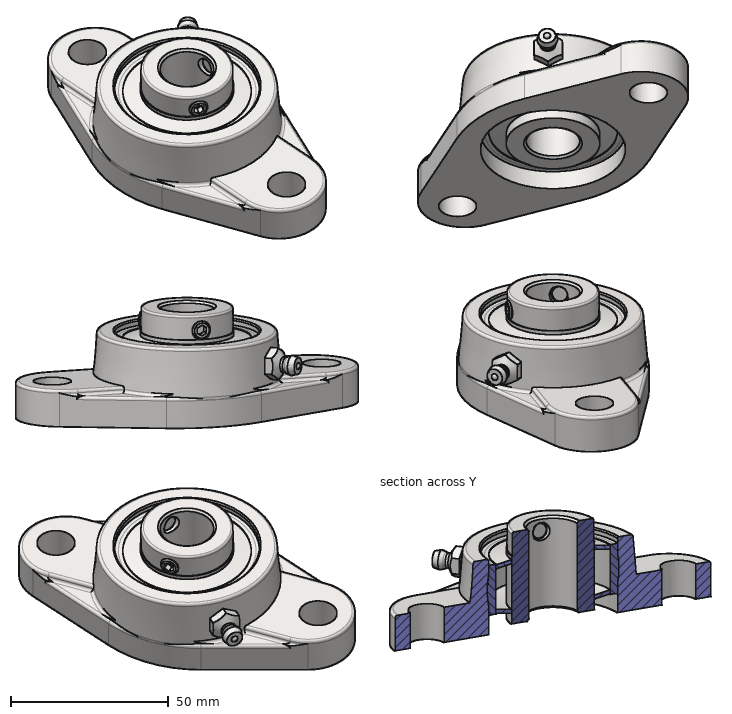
import cadquery as cq
import math

bolt_spacing = 90.0
bolt_hole_d = 12.0
end_r = 15.0
flange_length = 113.0
end_center_x = flange_length / 2 - end_r
flange_half_width = 30.0
waist_r = 41.5
pad_z = 10.0
flange_z = 12.0
edge_r = 1.0

draft = math.tan(math.radians(5))
hub_r = 30.0
hub_z = 25.6
hub_top_r = hub_r - (hub_z - pad_z) * draft
hub_edge_r = 1.0

ball_plane_z = 15.0
seat_r = 47.0 / 2
seat_mouth_r = 45.97 / 2
seat_half_height = math.sqrt(seat_r**2 - seat_mouth_r**2)
mouth_bevel = 0.5
outer_ring_half_width = 8.6
outer_ring_rim_drop = 0.15
outer_ring_bore_r = 40.79 / 2
outer_ring_face_r = 21.85
inner_ring_r = 29.72 / 2
collar_r = 29.21 / 2
collar_step_z = 25.4
inner_ring_bottom_z = 2.3
inner_ring_top_z = 33.3
bore_r = 17.0 / 2
collar_edge_r = 0.7
bore_chamfer = 0.75
seal_thickness = 1.5
seal_outer_offset = 8.25
seal_inner_offset = 9.1

screw_r = 5.99 / 2
screw_hole_r = 6.0 / 2
screw_tip_r = 4.92 / 2
screw_z = 28.4
screw_outer_end = 15.1
screw_inner_end = 9.4
screw_angles = (90, -30)
screw_hex_flats = 3.0
screw_hex_depth = 2.5

nipple_angle = 135
nipple_z = 17.6
stem_r = 6.0 / 2
stem_inner_end = 26.0
hex_flats = 9.0
hex_start = 29.8
hex_end = 32.7
hex_cone_r = 4.6
neck_start = 34.2
neck_r = 4.92 / 2
neck_end = 35.1
head_start = 35.9
head_back_r = 2.8
head_max_r = 6.5 / 2
head_max = 37.3
head_front_r = 2.7
head_end = 39.4
tip_r = 1.1
tip_height = 0.8


def radial_plane(angle, z, distance=0.0):
    """Plane whose normal points outward along a horizontal radius; its local Y is +Z."""
    a = math.radians(angle)
    direction = cq.Vector(math.cos(a), math.sin(a), 0)
    side = (-math.sin(a), math.cos(a), 0)
    origin = direction * distance + cq.Vector(0, 0, z)
    return cq.Plane(origin=origin.toTuple(), xDir=side, normal=direction.toTuple())


def revolve_radial(points, angle, z):
    """Turn a (distance, radius) outline about a horizontal radius of the bearing."""
    a = math.radians(angle)
    plane = cq.Plane(
        origin=(0, 0, z), xDir=(math.cos(a), math.sin(a), 0), normal=(math.sin(a), -math.cos(a), 0)
    )
    return cq.Workplane(plane).polyline(points).close().revolve(360, (0, 0, 0), (1, 0, 0))


def flange_outline():
    waist_y = flange_half_width - waist_r
    dist = math.hypot(end_center_x, waist_y)
    base = math.atan2(-waist_y, end_center_x)
    lean = math.asin((waist_r - end_r) / dist)
    slope = lean - base
    nx, ny = math.sin(slope), math.cos(slope)
    ex, ey = end_center_x + end_r * nx, end_r * ny
    wx, wy = waist_r * nx, waist_y + waist_r * ny
    tip = flange_length / 2
    return (
        cq.Workplane("XY")
        .moveTo(-wx, wy)
        .threePointArc((0, flange_half_width), (wx, wy))
        .lineTo(ex, ey)
        .threePointArc((tip, 0), (ex, -ey))
        .lineTo(wx, -wy)
        .threePointArc((0, -flange_half_width), (-wx, -wy))
        .lineTo(-ex, -ey)
        .threePointArc((-tip, 0), (-ex, ey))
        .close()
    )


def foot_profile(plane, wall, wall_lean=0.0):
    """Section of a concave fillet between the pad and a wall standing at the given distance."""
    mid = edge_r * (1 - math.sqrt(0.5))
    return (
        cq.Workplane(plane)
        .moveTo(wall - edge_r, pad_z - edge_r)
        .lineTo(wall + edge_r, pad_z - edge_r)
        .lineTo(wall + edge_r, pad_z)
        .threePointArc((wall + mid, pad_z + mid), (wall - wall_lean, pad_z + edge_r))
        .lineTo(wall - edge_r, pad_z + edge_r)
        .close()
    )


def straight_feet():
    """Concave fillets along both straight sides of the ridge."""
    plane = cq.Plane(origin=(-end_center_x, 0, 0), xDir=(0, 1, 0), normal=(1, 0, 0))
    foot = foot_profile(plane, end_r).extrude(2 * end_center_x)
    return foot.union(foot.mirror("XZ"))


def end_feet():
    """Concave fillets round both ends of the ridge."""
    foot = foot_profile("XZ", end_r).revolve(360, (0, 0, 0), (0, 1, 0))
    return foot.translate((end_center_x, 0, 0)).union(foot.translate((-end_center_x, 0, 0)))


def hub_foot():
    """Concave fillet ring between the hub and the low side pads."""
    return foot_profile("XZ", hub_r, draft * edge_r).revolve(360, (0, 0, 0), (0, 1, 0))


def make_flange():
    pad = flange_outline().extrude(pad_z).faces(">Z").edges().fillet(edge_r)
    ridge = cq.Workplane("XY").slot2D(flange_length, 2 * end_r).extrude(flange_z)
    ridge = ridge.faces(">Z").edges().fillet(edge_r)
    pad_flat = flange_outline().offset2D(-edge_r).extrude(flange_z)
    inner_feet = straight_feet().union(hub_foot()).intersect(pad_flat)
    tip_feet = end_feet().intersect(flange_outline().extrude(flange_z))
    return pad.union(ridge).union(inner_feet).union(tip_feet)


def make_hub():
    """Drafted round hub standing on a straight cylinder that runs down through the flange."""
    base = cq.Workplane("XY").circle(hub_r).extrude(pad_z)
    cone = (
        cq.Workplane("XZ")
        .polyline([(0, pad_z), (hub_r, pad_z), (hub_top_r, hub_z), (0, hub_z)])
        .close()
        .revolve(360, (0, 0, 0), (0, 1, 0))
    )
    return base.union(cone.faces(">Z").edges().fillet(hub_edge_r))


def seat_cutter():
    """Spherical bearing seat, bevelled mouth above it and straight bore below it."""
    seat_top = ball_plane_z + seat_half_height
    seat_bottom = ball_plane_z - seat_half_height
    return (
        cq.Workplane("XZ")
        .moveTo(0, 0)
        .lineTo(seat_mouth_r, 0)
        .lineTo(seat_mouth_r, seat_bottom)
        .threePointArc((seat_r, ball_plane_z), (seat_mouth_r, seat_top))
        .lineTo(seat_mouth_r, hub_z - mouth_bevel)
        .lineTo(seat_mouth_r + mouth_bevel, hub_z)
        .lineTo(0, hub_z)
        .close()
        .revolve(360, (0, 0, 0), (0, 1, 0))
    )


def make_housing():
    housing = make_flange().union(make_hub()).cut(seat_cutter())
    bolt_holes = (
        cq.Workplane("XY")
        .rarray(bolt_spacing, 1, 2, 1)
        .circle(bolt_hole_d / 2)
        .extrude(flange_z)
    )
    nipple_hole = (
        cq.Workplane(radial_plane(nipple_angle, nipple_z, stem_inner_end))
        .circle(stem_r)
        .extrude(hex_start - stem_inner_end)
    )
    return housing.cut(bolt_holes).cut(nipple_hole)


def make_outer_ring():
    """Ring with a spherical back, a short straight shoulder and a slightly raised outer rim."""
    face = outer_ring_half_width - outer_ring_rim_drop
    half = (
        cq.Workplane("XZ", origin=(0, 0, ball_plane_z))
        .moveTo(outer_ring_bore_r, 0)
        .lineTo(outer_ring_bore_r, face)
        .lineTo(outer_ring_face_r, face)
        .lineTo(seat_mouth_r, outer_ring_half_width)
        .lineTo(seat_mouth_r, seat_half_height)
        .threePointArc(
            (math.sqrt(seat_r**2 - (seat_half_height / 2) ** 2), seat_half_height / 2), (seat_r, 0)
        )
        .close()
        .revolve(360, (0, 0, 0), (0, 1, 0))
    )
    return half.union(half.mirror("XY", (0, 0, ball_plane_z)))


def make_inner_ring():
    height = inner_ring_top_z - inner_ring_bottom_z
    step_height = collar_step_z - inner_ring_bottom_z
    start = cq.Workplane("XY", origin=(0, 0, inner_ring_bottom_z))
    ring = start.circle(collar_r).extrude(height).union(start.circle(inner_ring_r).extrude(step_height))
    ring = ring.cut(start.circle(bore_r).extrude(height))
    ring = ring.edges(cq.selectors.RadiusNthSelector(0)).chamfer(bore_chamfer)
    ring = ring.faces(">Z").edges(cq.selectors.RadiusNthSelector(-1)).fillet(collar_edge_r)
    for angle in screw_angles:
        plane = radial_plane(angle, screw_z)
        ring = ring.cut(cq.Workplane(plane).circle(screw_hole_r).extrude(inner_ring_r))
    return ring


def make_seal(side):
    """Slightly dished seal ring; side is +1 above the balls or -1 below them."""
    outer_z = ball_plane_z + side * seal_outer_offset
    inner_z = ball_plane_z + side * seal_inner_offset
    depth = side * seal_thickness
    return (
        cq.Workplane("XZ")
        .polyline(
            [
                (inner_ring_r, inner_z),
                (outer_ring_bore_r, outer_z),
                (outer_ring_bore_r, outer_z - depth),
                (inner_ring_r, inner_z - depth),
            ]
        )
        .close()
        .revolve(360, (0, 0, 0), (0, 1, 0))
    )


def make_set_screw(angle):
    length = screw_outer_end - screw_inner_end
    screw = (
        cq.Workplane(radial_plane(angle, screw_z, screw_inner_end))
        .circle(screw_r)
        .extrude(length)
        .edges("%CIRCLE")
        .chamfer(screw_r - screw_tip_r)
    )
    socket = (
        cq.Workplane(radial_plane(angle, screw_z, screw_outer_end))
        .transformed(rotate=(0, 0, 90))
        .polygon(6, screw_hex_flats / math.cos(math.pi / 6))
        .extrude(-screw_hex_depth)
    )
    return screw.cut(socket)


def make_nipple():
    stem = (
        cq.Workplane(radial_plane(nipple_angle, nipple_z, stem_inner_end))
        .circle(stem_r)
        .extrude(hex_start - stem_inner_end)
    )
    hexagon = (
        cq.Workplane(radial_plane(nipple_angle, nipple_z, hex_start))
        .transformed(rotate=(0, 0, 90))
        .polygon(6, hex_flats / math.cos(math.pi / 6))
        .extrude(neck_start - hex_start)
    )
    full_r = hex_flats
    cone_slope = (hex_cone_r - neck_r) / (neck_start - hex_end)
    full_x = hex_end - (full_r - hex_cone_r) / cone_slope
    envelope = revolve_radial(
        [(full_x, 0), (neck_start, 0), (neck_start, neck_r), (full_x, full_r)],
        nipple_angle,
        nipple_z,
    )
    head = revolve_radial(
        [
            (hex_start, 0),
            (hex_start, neck_r),
            (neck_end, neck_r),
            (head_start, head_back_r),
            (head_max, head_max_r),
            (head_end, head_front_r),
            (head_end, 0),
        ],
        nipple_angle,
        nipple_z,
    )
    cap_r = (tip_r**2 + tip_height**2) / (2 * tip_height)
    cap_center = head_end + tip_height - cap_r
    tip = cq.Workplane(radial_plane(nipple_angle, nipple_z, cap_center)).sphere(cap_r)
    return stem.union(hexagon.intersect(envelope)).union(head).union(tip)


housing = make_housing()
outer_ring = make_outer_ring()
inner_ring = make_inner_ring()
seals = [make_seal(side) for side in (1, -1)]
set_screws = [make_set_screw(angle) for angle in screw_angles]
nipple = make_nipple()

result = cq.Compound.makeCompound(
    [
        housing.val(),
        outer_ring.val(),
        inner_ring.val(),
        *[seal.val() for seal in seals],
        *[screw.val() for screw in set_screws],
        nipple.val(),
    ]
)